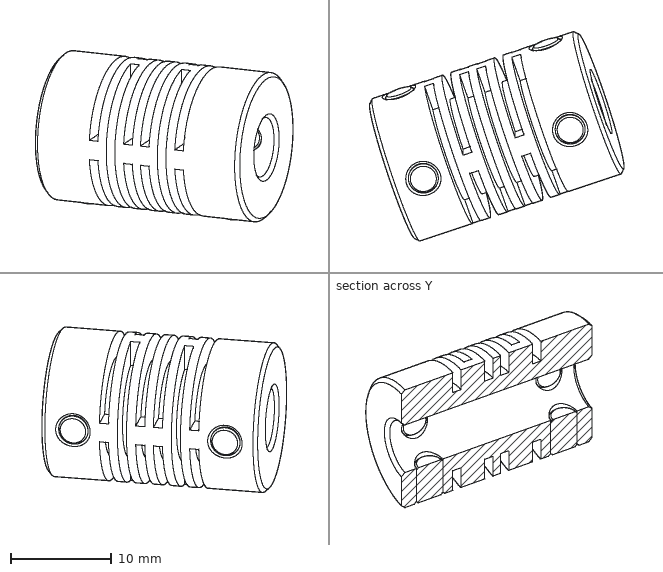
import cadquery as cq

LENGTH = 22.0
OUTER_RADIUS = 7.5
BORE_RADIUS = 3.0
END_CHAMFER = 0.4

SLOT_WIDTH = 0.92
SLOT_FLOOR_RADIUS = 5.0
BRIDGE_WIDTH = 2.0
SLOT_PITCH = 2 * SLOT_WIDTH
INNER_SLOT_X = 0.9
MIDDLE_SLOT_X = INNER_SLOT_X + SLOT_PITCH
OUTER_SLOT_X = MIDDLE_SLOT_X + SLOT_PITCH

SCREW_RADIUS = 1.5
SCREW_X = 7.75
SCREW_END_CHAMFER = 0.2
HOLE_MOUTH_CHAMFER = 0.26
SCREW_DIRECTIONS = [cq.Vector(0, 1, 0), cq.Vector(0, 0, -1)]
SCREW_PLACES = [(side * SCREW_X, direction) for side in (-1, 1) for direction in SCREW_DIRECTIONS]

CUT_MARGIN = 0.22


def x_cylinder(radius, length):
    """Cylinder along X, centred on the origin."""
    return cq.Workplane("YZ").circle(radius).extrude(length / 2, both=True)


def screw_cylinder(x, direction, start, end):
    """Cylinder of the screw radius, between two distances from the coupling axis."""
    base = cq.Vector(x, 0, 0) + direction * start
    return cq.Workplane(obj=cq.Solid.makeCylinder(SCREW_RADIUS, end - start, base, direction))


def slot_ring(x, bridge_size_y, bridge_size_z):
    """Ring-shaped cut, interrupted where a bar across the axis keeps two bridges."""
    floor = x_cylinder(SLOT_FLOOR_RADIUS, SLOT_WIDTH)
    bridges = cq.Workplane().box(SLOT_WIDTH, bridge_size_y, bridge_size_z)
    ring = x_cylinder(OUTER_RADIUS + CUT_MARGIN, SLOT_WIDTH).cut(floor).cut(bridges)
    return ring.translate((x, 0, 0))


def cut_screw_hole(body, x, direction):
    """Radial hole from the bore to the outside, chamfered around its outer mouth."""
    body = body.cut(screw_cylinder(x, direction, 0, OUTER_RADIUS + CUT_MARGIN))
    mouth = cq.Vector(x, 0, 0) + direction * OUTER_RADIUS
    return body.edges(cq.NearestToPointSelector(mouth.toTuple())).chamfer(HOLE_MOUTH_CHAMFER)


def cut_flexure_slots(body):
    """Three slots on each side of the middle, their bridges alternating between Y and Z."""
    bar_length = 2 * (OUTER_RADIUS + CUT_MARGIN)
    for side in (-1, 1):
        for x in (INNER_SLOT_X, OUTER_SLOT_X):
            body = body.cut(slot_ring(side * x, bar_length, BRIDGE_WIDTH))
        body = body.cut(slot_ring(side * MIDDLE_SLOT_X, BRIDGE_WIDTH, bar_length))
    return body


def make_coupling():
    body = x_cylinder(OUTER_RADIUS, LENGTH).cut(x_cylinder(BORE_RADIUS, LENGTH))
    body = body.faces("<X or >X").chamfer(END_CHAMFER)
    for x, direction in SCREW_PLACES:
        body = cut_screw_hole(body, x, direction)
    return cut_flexure_slots(body)


def make_set_screw(x, direction):
    """Headless screw reaching from the bore to the outer surface, chamfered at both ends."""
    screw = screw_cylinder(x, direction, BORE_RADIUS, OUTER_RADIUS)
    return screw.edges("%CIRCLE").chamfer(SCREW_END_CHAMFER)


coupling = make_coupling()
set_screws = [make_set_screw(x, direction) for x, direction in SCREW_PLACES]

result = cq.Compound.makeCompound([coupling.solids().val(), *[screw.solids().val() for screw in set_screws]])